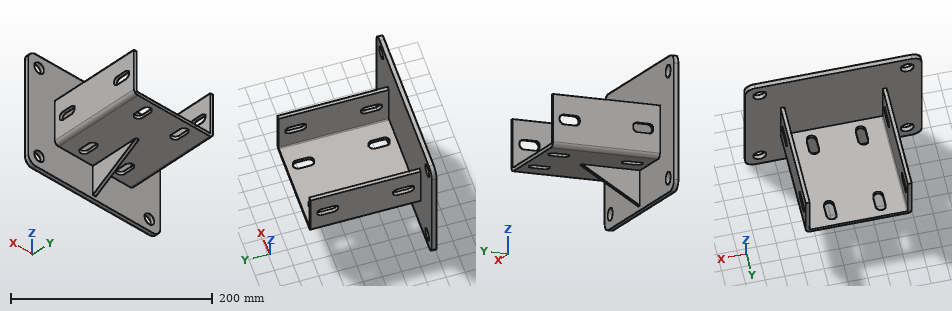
import cadquery as cq
import math

plate_width = 180.0
plate_height = 140.0
plate_thickness = 5.0
plate_corner_radius = 10.0
bolt_hole_diameter = 13.0
bolt_hole_inset = 15.0

total_depth = 120.0
channel_inner_width = 100.0
sheet_thickness = 4.0
bend_inner_radius = 1.0
wall_top_z = 25.0
floor_z = -wall_top_z
bend_outer_radius = bend_inner_radius + sheet_thickness
channel_width = channel_inner_width + 2 * sheet_thickness
channel_bottom_z = floor_z - sheet_thickness
channel_length = total_depth - plate_thickness

slot_length = 22.0
slot_width = 10.0
slot_end_inset = 18.0
floor_slot_spacing = 50.0
slot_y_positions = (plate_thickness + slot_end_inset, total_depth - slot_end_inset)

gusset_length = 62.6
gusset_angle = 30.0
gusset_height = gusset_length * math.tan(math.radians(gusset_angle))
gusset_thickness = sheet_thickness


def make_plate():
    blank = (
        cq.Workplane("XY")
        .box(plate_width, plate_thickness, plate_height, centered=(True, False, True))
        .edges("|Y")
        .fillet(plate_corner_radius)
    )
    bolt_holes = (
        cq.Workplane("XZ")
        .rect(plate_width - 2 * bolt_hole_inset, plate_height - 2 * bolt_hole_inset, forConstruction=True)
        .vertices()
        .circle(bolt_hole_diameter / 2)
        .extrude(-plate_thickness)
    )
    return blank.cut(bolt_holes)


def make_trough(width, bottom_z, bend_radius):
    """Solid bar from the plate to the free end, with rounded lower long edges."""
    return (
        cq.Workplane("XY", origin=(0, plate_thickness, bottom_z))
        .box(width, channel_length, wall_top_z - bottom_z, centered=(True, False, False))
        .edges("|Y and <Z")
        .fillet(bend_radius)
    )


def make_channel():
    outside = make_trough(channel_width, channel_bottom_z, bend_outer_radius)
    inside = make_trough(channel_inner_width, floor_z, bend_inner_radius)
    channel = outside.cut(inside)

    floor_slots = (
        cq.Workplane("XY", origin=(0, 0, channel_bottom_z))
        .pushPoints([(side * floor_slot_spacing / 2, y) for side in (-1, 1) for y in slot_y_positions])
        .slot2D(slot_length, slot_width, 90)
        .extrude(sheet_thickness)
    )
    wall_slots = (
        cq.Workplane("YZ")
        .pushPoints([(y, 0) for y in slot_y_positions])
        .slot2D(slot_length, slot_width)
        .extrude(channel_width / 2, both=True)
    )
    return channel.cut(floor_slots).cut(wall_slots)


def make_gusset():
    return (
        cq.Workplane("YZ", origin=(0, plate_thickness, channel_bottom_z))
        .polyline([(0, 0), (gusset_length, 0), (0, -gusset_height)])
        .close()
        .extrude(gusset_thickness / 2, both=True)
    )


result = make_plate().union(make_channel()).union(make_gusset())